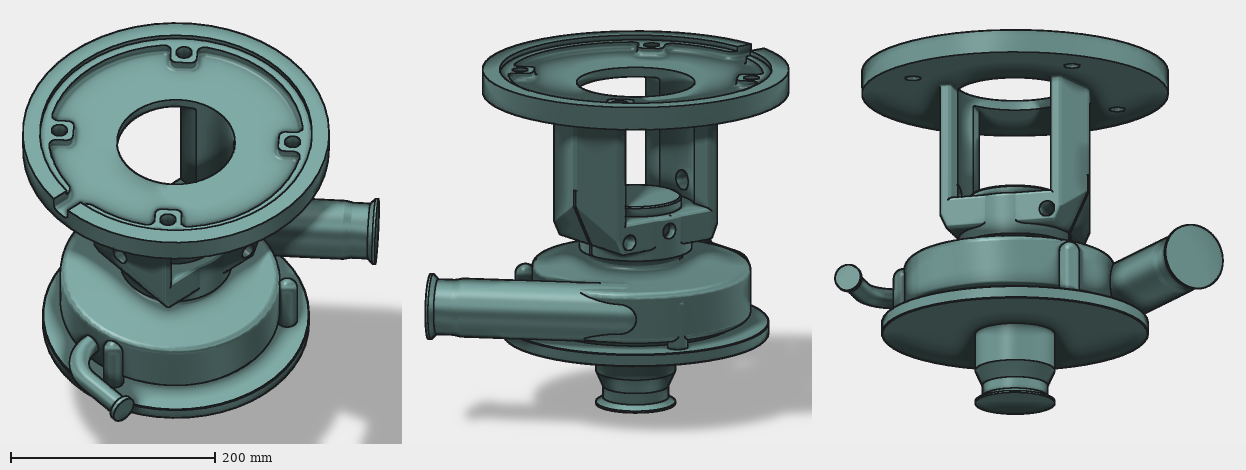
import cadquery as cq
import math


height = 337.5
suction_neck_z = 6.5
suction_cone_z = 18.0
suction_pipe_z = 33.3
plate_bottom_z = 70.5
plate_top_z = 82.5
casing_bottom_z = 90.0
outlet_z = 115.0
casing_edge_z = 140.8
casing_crown_z = 146.5
neck_flare_z = 146.0
neck_z = 150.7
collar_bottom_z = 157.5
block_bottom_z = 168.0
collar_top_z = 199.5
shaft_top_z = 209.5
flange_thick = 22.5
flange_bottom_z = height - flange_thick

tolerance = 0.5

flange_r = 150.0
recess_r = 133.0
recess_depth = 4.5
pocket_r = 124.7
pocket_depth = 13.0
pocket_floor_fillet = 5.7
pocket_mouth_fillet = 7.3
boss_half_width = 13.0
boss_tip_r = 100.5
boss_corner = 6.0
bolt_hole_r = 7.5
bolt_circle_r = 114.5
bolt_angles = (45, 135, 225, 315)
drain_notch_half = 10.5
drain_notch_corner = 10.0

frame_bore_r = 57.8
collar_r = 55.0
shaft_r = 44.8
shaft_chamfer = 1.5
neck_r = 46.0
leg_half_width = 52.8
leg_inner_y = 50.5
ridge_y = 74.5
ridge_half_width = 3.0
leg_slope = 15
leg_edge_fillet = 3.5
leg_root_fillet = 2.0
taper_top_z = 209.5
taper_bottom_y = collar_r
slit_half_width = 1.72
access_hole_r = 10.0
access_hole_z = 216.5
screw_hole_r = 7.5
screw_hole_y = 47.5
screw_hole_z = 180.0
collar_hole_z = 185.0

volute_shift = 5.7
volute_r = 113.5
casing_span = volute_r + volute_shift
volute_overrun = 46.0
volute_angle = 45
casing_fillet = 6.0
neck_flare_r = 50.5
spigot_r = 97.0
plate_r = 130.5
plate_chamfer = 0.8
post_r = 10.0
post_circle_r = 109.0
post_angles = (45, 165, 285)
post_shoulder_z = 127.0

suction_r = 39.0
suction_neck_r = 32.0
clamp_edge = 2.0
outlet_offset = 95.0
outlet_r = 28.5
outlet_neck_r = 27.0
outlet_clamp_r = 32.0
outlet_cone_start = 158.5
outlet_cone_end = 166.0
outlet_flare_start = 183.0
outlet_rim_start = 188.0
outlet_length = 190.5
drain_r = 9.5
drain_bend_r = 35.5
drain_y = -145.0
drain_clamp_start = 83.8
drain_clamp_r = 13.0
drain_length = 88.7


def cylinder(radius, z_from, z_to):
    return cq.Workplane("XY").workplane(offset=z_from).circle(radius).extrude(z_to - z_from)


def round_corner(body, x, y, radius):
    """Fillet the vertical edge that stands at (x, y)."""
    around = cq.selectors.BoxSelector(
        (x - tolerance, y - tolerance, 0),
        (x + tolerance, y + tolerance, height),
    )
    return body.edges("|Z").edges(around).fillet(radius)


def motor_flange():
    """Disc with a centring recess, a lobed pocket, four bosses and a drain notch."""
    flange = cylinder(flange_r, flange_bottom_z, height)
    flange = flange.cut(cylinder(recess_r, height - recess_depth, height))

    floor_z = height - pocket_depth
    boss_length = flange_r - boss_tip_r
    pocket = cylinder(pocket_r, floor_z, height)
    for angle in bolt_angles:
        boss = (
            cq.Workplane("XY")
            .box(boss_length, 2 * boss_half_width, pocket_depth, centered=(False, True, False))
            .edges("|Z and <X")
            .fillet(boss_corner)
            .translate((boss_tip_r, 0, floor_z))
            .rotate((0, 0, 0), (0, 0, 1), angle)
        )
        pocket = pocket.cut(boss)
    mouth_r = math.sqrt(pocket_r ** 2 - boss_half_width ** 2)
    for angle in bolt_angles:
        turn = math.radians(angle)
        for side in (-boss_half_width, boss_half_width):
            x = mouth_r * math.cos(turn) - side * math.sin(turn)
            y = mouth_r * math.sin(turn) + side * math.cos(turn)
            pocket = round_corner(pocket, x, y, pocket_mouth_fillet)

    notch = (
        cq.Workplane("XY")
        .box(2 * drain_notch_half, flange_r, pocket_depth, centered=(True, False, False))
        .translate((0, -flange_r - drain_notch_half, floor_z))
    )
    pocket = pocket.union(notch)
    notch_y = -math.sqrt(pocket_r ** 2 - drain_notch_half ** 2)
    for x in (-drain_notch_half, drain_notch_half):
        pocket = round_corner(pocket, x, notch_y, drain_notch_corner)
    pocket = pocket.faces("<Z").edges().fillet(pocket_floor_fillet)
    flange = flange.cut(pocket)

    bolt_holes = (
        cq.Workplane("XY")
        .workplane(offset=flange_bottom_z)
        .polarArray(bolt_circle_r, bolt_angles[0], 360, len(bolt_angles))
        .circle(bolt_hole_r)
        .extrude(flange_thick)
    )
    return flange.cut(bolt_holes).cut(cylinder(frame_bore_r, flange_bottom_z, height))


def lantern_frame():
    """Two ridged legs joined by a split clamping collar."""
    leg_top_z = flange_bottom_z + leg_edge_fillet
    leg_side_y = ridge_y - (leg_half_width - ridge_half_width) * math.tan(math.radians(leg_slope))
    frame = (
        cq.Workplane("XY")
        .workplane(offset=block_bottom_z)
        .polyline([
            (leg_half_width, -leg_side_y),
            (leg_half_width, leg_side_y),
            (ridge_half_width, ridge_y),
            (-ridge_half_width, ridge_y),
            (-leg_half_width, leg_side_y),
            (-leg_half_width, -leg_side_y),
            (-ridge_half_width, -ridge_y),
            (ridge_half_width, -ridge_y),
        ])
        .close()
        .extrude(leg_top_z - block_bottom_z)
    )
    side_outline = (
        cq.Workplane("YZ")
        .polyline([
            (-taper_bottom_y, block_bottom_z),
            (taper_bottom_y, block_bottom_z),
            (ridge_y, taper_top_z),
            (ridge_y, leg_top_z),
            (leg_inner_y, leg_top_z),
            (leg_inner_y, collar_top_z),
            (-leg_inner_y, collar_top_z),
            (-leg_inner_y, leg_top_z),
            (-ridge_y, leg_top_z),
            (-ridge_y, taper_top_z),
        ])
        .close()
        .extrude(leg_half_width, both=True)
    )
    frame = frame.intersect(side_outline)
    slanted_edges = frame.edges("not(|X or |Y or |Z or >Z)")
    side_and_bottom_edges = frame.faces("<X or >X or <Z").edges()
    frame = side_and_bottom_edges.add(slanted_edges).fillet(leg_edge_fillet)
    frame = frame.cut(cylinder(frame_bore_r, collar_top_z, leg_top_z))
    collar = cylinder(collar_r, collar_bottom_z, collar_top_z).faces(">Z").edges().fillet(leg_edge_fillet)
    frame = frame.union(collar)

    access_hole = (
        cq.Workplane("XZ")
        .center(0, access_hole_z)
        .circle(access_hole_r)
        .extrude(ridge_y)
    )
    slit_top_z = access_hole_z + access_hole_r
    slit = (
        cq.Workplane("XY")
        .box(2 * slit_half_width, ridge_y, slit_top_z - collar_bottom_z, centered=(True, False, False))
        .translate((0, 0, collar_bottom_z))
    )
    screw_hole = (
        cq.Workplane("YZ")
        .center(screw_hole_y, screw_hole_z)
        .circle(screw_hole_r)
        .extrude(leg_half_width, both=True)
    )
    collar_hole = (
        cq.Workplane("YZ")
        .center(0, collar_hole_z)
        .circle(screw_hole_r)
        .extrude(-collar_r)
    )
    return frame.cut(access_hole).cut(slit).cut(screw_hole).cut(collar_hole)


def mounting_frame():
    """Lantern frame and motor flange, with fillets where the legs meet the flange."""
    mount = lantern_frame().union(motor_flange())
    for y_from, y_to in ((-ridge_y, -leg_inner_y), (leg_inner_y, ridge_y)):
        leg_root = cq.selectors.BoxSelector(
            (-leg_half_width - tolerance, y_from - tolerance, flange_bottom_z - tolerance),
            (leg_half_width + tolerance, y_to + tolerance, flange_bottom_z + tolerance),
        )
        mount = mount.edges(leg_root).fillet(leg_root_fillet)
    return mount


def shaft_and_neck():
    """Shaft end inside the collar and the flared neck on the casing roof."""
    shaft = cylinder(shaft_r, casing_crown_z, shaft_top_z).faces(">Z").chamfer(shaft_chamfer)
    neck = (
        cq.Workplane("XZ")
        .moveTo(0, casing_edge_z)
        .lineTo(neck_flare_r, casing_edge_z)
        .lineTo(neck_flare_r, neck_flare_z)
        .radiusArc((neck_r, neck_z), neck_flare_r - neck_r)
        .lineTo(neck_r, collar_bottom_z)
        .lineTo(0, collar_bottom_z)
        .close()
        .revolve(360, (0, 0, 0), (0, 1, 0))
    )
    return shaft.union(neck)


def drum(radius, shift):
    """Casing drum with its axis shifted along Y, under a conical roof centred on the shaft."""
    roof = (
        cq.Workplane("XZ")
        .polyline([
            (0, casing_bottom_z),
            (casing_span, casing_bottom_z),
            (casing_span, casing_edge_z),
            (neck_r, casing_crown_z),
            (0, casing_crown_z),
        ])
        .close()
        .revolve(360, (0, 0, 0), (0, 1, 0))
    )
    body = cylinder(radius, casing_bottom_z, casing_crown_z).translate((0, shift, 0)).intersect(roof)
    return body.faces("%CYLINDER").edges("not %LINE").fillet(casing_fillet)


def part_zone(x_from, x_to, y_from, y_to):
    """Box of the full part height between the given X and Y limits."""
    return (
        cq.Workplane("XY")
        .box(x_to - x_from, y_to - y_from, height, centered=False)
        .translate((x_from, y_from, 0))
    )


def outlet_pipe():
    """Discharge pipe along +X with a reducing cone, clamp flare and ball end."""
    pipe = (
        cq.Workplane("XY")
        .polyline([
            (0, 0),
            (0, outlet_r),
            (outlet_cone_start, outlet_r),
            (outlet_cone_end, outlet_neck_r),
            (outlet_flare_start, outlet_neck_r),
            (outlet_rim_start, outlet_clamp_r),
            (outlet_length, outlet_clamp_r),
            (outlet_length, 0),
        ])
        .close()
        .revolve(360, (0, 0, 0), (1, 0, 0))
    )
    pipe = pipe.union(cq.Workplane("XY").sphere(outlet_r))
    return pipe.translate((0, outlet_offset, outlet_z))


def volute():
    """Two half drums of different radius with the discharge pipe, turned to the outlet angle."""
    large = drum(volute_r, volute_shift)
    small = drum(volute_r - 2 * volute_shift, -volute_shift)
    body = large.intersect(part_zone(-casing_span, 0, -casing_span, casing_span))
    body = body.union(small.intersect(part_zone(0, casing_span, -casing_span, casing_span)))
    body = body.union(large.intersect(part_zone(0, volute_overrun, outlet_offset, casing_span)))
    body = body.union(outlet_pipe())
    return body.rotate((0, 0, 0), (0, 0, 1), volute_angle)


def post(angle):
    """Domed stud standing on the back plate."""
    stud = cylinder(post_r, plate_top_z, post_shoulder_z)
    dome = cq.Workplane("XY").sphere(post_r).translate((0, 0, post_shoulder_z))
    return stud.union(dome).translate((
        post_circle_r * math.cos(math.radians(angle)),
        post_circle_r * math.sin(math.radians(angle)),
        0,
    ))


def back_plate():
    plate = cylinder(plate_r, plate_bottom_z, plate_top_z).edges().chamfer(plate_chamfer)
    return plate.union(cylinder(spigot_r, plate_top_z, casing_bottom_z))


def suction_pipe():
    return (
        cq.Workplane("XZ")
        .polyline([
            (0, 0),
            (suction_r, 0),
            (suction_r, clamp_edge),
            (suction_neck_r, suction_neck_z),
            (suction_neck_r, suction_cone_z),
            (suction_r, suction_pipe_z),
            (suction_r, plate_bottom_z),
            (0, plate_bottom_z),
        ])
        .close()
        .revolve(360, (0, 0, 0), (0, 1, 0))
    )


def drain_pipe():
    """Pipe leaving the casing towards -Y, bending to +X and ending in a clamp collar."""
    bend_mid = drain_bend_r * (1 - math.sqrt(0.5))
    wall_y = drain_y + drain_bend_r
    path = (
        cq.Workplane("XY")
        .moveTo(0, -spigot_r)
        .lineTo(0, wall_y)
        .threePointArc((bend_mid, drain_y + bend_mid), (drain_bend_r, drain_y))
        .lineTo(drain_length, drain_y)
    )
    pipe = cq.Workplane("XZ", origin=(0, -spigot_r, 0)).circle(drain_r).sweep(path)
    clamp = (
        cq.Workplane("YZ", origin=(drain_clamp_start, drain_y, 0))
        .circle(drain_clamp_r)
        .extrude(drain_length - drain_clamp_start)
    )
    return pipe.union(clamp).translate((0, 0, outlet_z))


result = volute().union(back_plate()).union(suction_pipe()).union(drain_pipe())
for post_angle in post_angles:
    result = result.union(post(post_angle))
result = result.union(mounting_frame()).union(shaft_and_neck())